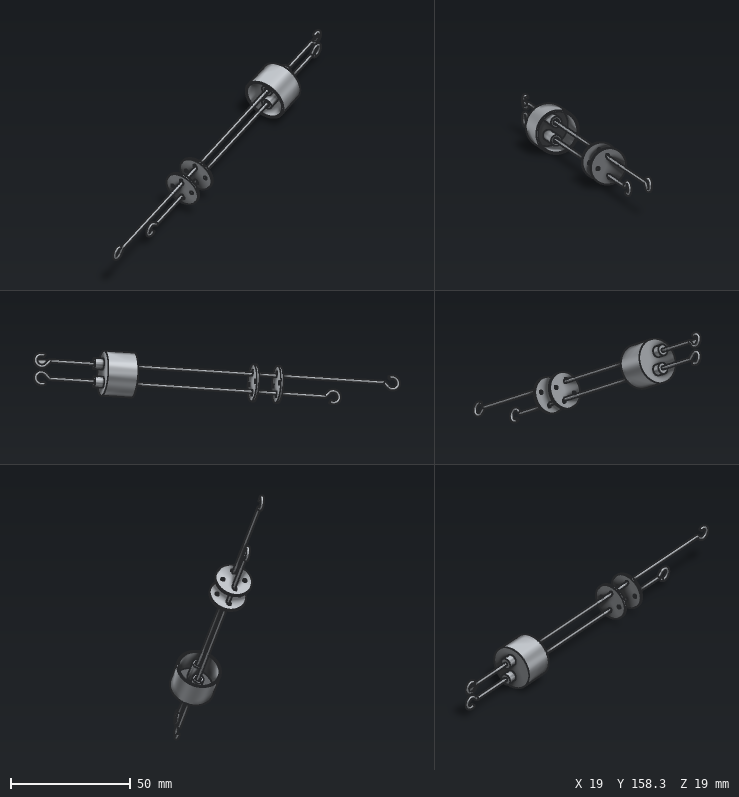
import cadquery as cq
import math

cup_diameter = 19.0
cup_bore = 17.4
cup_back_y = 49.4
cup_length = 13.0
cup_floor = 1.6
cup_front_y = cup_back_y - cup_length

boss_diameter = 4.7
boss_offset = 4.0
boss_back_y = 53.2
boss_front_y = 38.0
boss_bore = 2.5
boss_bore_depth = 1.6

wire_diameter = 1.52
rod_offset = 3.8
hook_radius = 2.5
hook_lead_angle = 45.0
hook_tip_angle = 55.0
hook_reach = hook_radius + wire_diameter / 2
overall_length = 158.3
back_hook_y = overall_length / 2 - hook_reach
upper_front_hook_y = -back_hook_y
lower_front_hook_y = -50.3
web_thickness = 0.8
web_rise = 0.3

disc_diameter = 15.7
disc_thickness = 1.1
disc_back_faces = (-15.2, -25.6)
disc_hole_diameter = 1.52
disc_hole_radius = 4.7
disc_hole_count = 4
disc_hole_twist = 6.0


def cylinder_y(diameter, front_y, back_y, x=0.0, z=0.0):
    """Solid cylinder along Y between two Y positions."""
    base = cq.Workplane("XZ", origin=(x, front_y, z))
    return base.circle(diameter / 2).extrude(front_y - back_y)


def make_hook(center_y, outward, axis_z, first_bend):
    """Hook beyond the rod end: a slanted lead tangent to an open ring.

    outward is the Y direction away from the rod; first_bend is the Z
    direction in which the wire first leaves the rod axis.
    """

    def ring_point(angle):
        return (
            center_y - outward * hook_radius * math.cos(math.radians(angle)),
            axis_z + first_bend * hook_radius * math.sin(math.radians(angle)),
        )

    tip = 360 - hook_tip_angle
    middle = (hook_lead_angle + tip) / 2
    path = (
        cq.Workplane("YZ")
        .moveTo(knee_y(center_y, outward), axis_z)
        .lineTo(*ring_point(hook_lead_angle))
        .threePointArc(ring_point(middle), ring_point(tip))
    )
    lead_direction = (
        0,
        outward * math.sin(math.radians(hook_lead_angle)),
        first_bend * math.cos(math.radians(hook_lead_angle)),
    )
    start = cq.Plane(
        origin=(0, knee_y(center_y, outward), axis_z), xDir=(1, 0, 0), normal=lead_direction
    )
    return cq.Workplane(start).circle(wire_diameter / 2).sweep(path)


def knee_y(center_y, outward):
    """Y position where the straight rod bends into the hook lead."""
    return center_y - outward * hook_radius / math.cos(math.radians(hook_lead_angle))


def make_rod(axis_z, front_hook_y, first_bend):
    """Straight wire, rounded knees and both end hooks."""
    front_knee = knee_y(front_hook_y, -1)
    back_knee = knee_y(back_hook_y, 1)
    rod = cylinder_y(wire_diameter, front_knee, back_knee, z=axis_z)
    for y in (front_knee, back_knee):
        rod = rod.union(cq.Workplane("XY", origin=(0, y, axis_z)).sphere(wire_diameter / 2))
    rod = rod.union(make_hook(front_hook_y, -1, axis_z, first_bend))
    return rod.union(make_hook(back_hook_y, 1, axis_z, first_bend))


def make_hook_web():
    """Thin web closing the lower part of the upper back hook."""
    web = (
        cq.Workplane("YZ", origin=(-web_thickness / 2, 0, 0))
        .center(back_hook_y, rod_offset)
        .circle(hook_radius)
        .extrude(web_thickness)
    )
    above = cq.Workplane("XY", origin=(0, back_hook_y, rod_offset + web_rise)).box(
        2 * hook_radius, 2 * hook_radius, 2 * hook_radius, centered=(True, True, False)
    )
    return web.cut(above)


def make_cup():
    """Cup with two bosses through its floor, each counterbored at its front."""
    cup = cylinder_y(cup_diameter, cup_front_y, cup_back_y)
    cup = cup.cut(cylinder_y(cup_bore, cup_front_y, cup_back_y - cup_floor))
    for side in (1, -1):
        cup = cup.union(cylinder_y(boss_diameter, boss_front_y, boss_back_y, z=side * boss_offset))
        bore_end = boss_front_y + boss_bore_depth
        cup = cup.cut(cylinder_y(boss_bore, boss_front_y, bore_end, z=side * boss_offset))
    return cup


def make_disc(back_y):
    """Disc with a ring of small holes, turned slightly about its axis."""
    front_y = back_y - disc_thickness
    disc = cylinder_y(disc_diameter, front_y, back_y)
    for i in range(disc_hole_count):
        angle = math.radians(disc_hole_twist + i * 360 / disc_hole_count)
        x = disc_hole_radius * math.cos(angle)
        z = disc_hole_radius * math.sin(angle)
        disc = disc.cut(cylinder_y(disc_hole_diameter, front_y, back_y, x, z))
    return disc


result = make_cup()
for disc_back_y in disc_back_faces:
    result = result.union(make_disc(disc_back_y))
result = result.union(make_rod(rod_offset, upper_front_hook_y, -1))
result = result.union(make_rod(-rod_offset, lower_front_hook_y, 1))
result = result.union(make_hook_web())